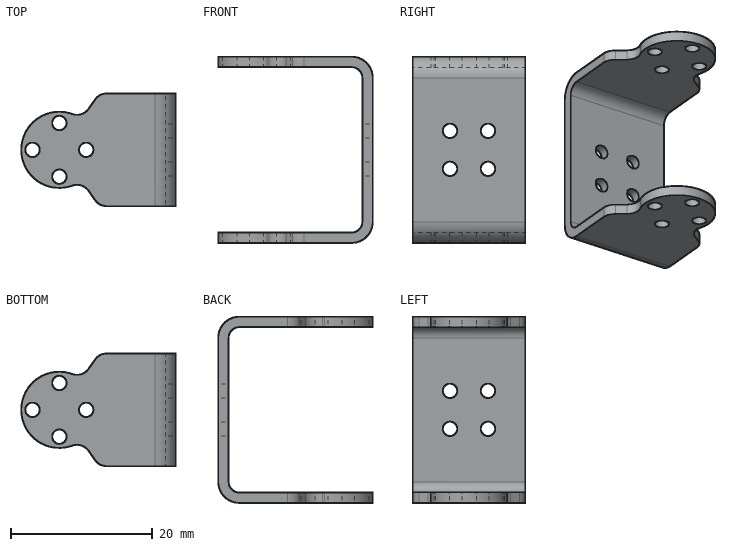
import cadquery as cq
import math

length = 21.9
width = 16.0
height = 26.4
thickness = 1.5
bend_inner_radius = 1.5
bend_outer_radius = bend_inner_radius + thickness

head_radius = 5.4
corner_radius = 2.0
shoulder_x = 6.7
shoulder_angle = 55.0
shoulder_edge_length = 1.6
neck_angle = 21.0
neck_x = 1.45

hole_diameter = 2.0
bolt_circle_radius = 3.8
holes_per_pattern = 4

back_x = length - head_radius
half_width = width / 2


def point_on_circle(center, radius, degrees):
    angle = math.radians(degrees)
    return (center[0] + radius * math.cos(angle), center[1] + radius * math.sin(angle))


def mirrored(point):
    return (point[0], -point[1])


def bent_strip():
    """Full-width channel with rounded bends, open toward -X."""
    outer = (
        cq.Workplane("XY")
        .box(length, width, height)
        .translate((back_x - length / 2, 0, 0))
        .edges("|Y and >X")
        .fillet(bend_outer_radius)
    )
    inner = (
        cq.Workplane("XY")
        .box(length, width, height - 2 * thickness)
        .translate((back_x - thickness - length / 2, 0, 0))
        .edges("|Y and >X")
        .fillet(bend_inner_radius)
    )
    return outer.cut(inner)


def arm_outline():
    """Prism of the outline seen along Z: round head, hollow neck, shoulders."""
    shoulder_normal = 90 + shoulder_angle
    hollow_start = 270 - neck_angle
    hollow_end = 270 + shoulder_angle

    shoulder_center = (shoulder_x, half_width - corner_radius)
    shoulder_end = (shoulder_x, half_width)
    shoulder_mid = point_on_circle(shoulder_center, corner_radius, (90 + shoulder_normal) / 2)
    shoulder_start = point_on_circle(shoulder_center, corner_radius, shoulder_normal)

    edge_foot = point_on_circle(shoulder_start, shoulder_edge_length, 180 + shoulder_angle)
    hollow_center = point_on_circle(edge_foot, corner_radius, shoulder_normal)
    hollow_mid = point_on_circle(hollow_center, corner_radius, (hollow_start + hollow_end) / 2)
    neck_end = point_on_circle(hollow_center, corner_radius, hollow_start)
    head_end = (neck_x, math.sqrt(head_radius**2 - neck_x**2))

    return (
        cq.Workplane("XY", origin=(0, 0, -height / 2))
        .moveTo(*mirrored(head_end))
        .threePointArc((-head_radius, 0), head_end)
        .lineTo(*neck_end)
        .threePointArc(hollow_mid, edge_foot)
        .lineTo(*shoulder_start)
        .threePointArc(shoulder_mid, shoulder_end)
        .lineTo(back_x, half_width)
        .lineTo(back_x, -half_width)
        .lineTo(*mirrored(shoulder_end))
        .threePointArc(mirrored(shoulder_mid), mirrored(shoulder_start))
        .lineTo(*mirrored(edge_foot))
        .threePointArc(mirrored(hollow_mid), mirrored(neck_end))
        .close()
        .extrude(height)
    )


def hole_pattern(workplane, first_angle, depth):
    """Ring of cylinders to cut, centered on the workplane origin."""
    return (
        workplane
        .polarArray(bolt_circle_radius, first_angle, 360, holes_per_pattern)
        .circle(hole_diameter / 2)
        .extrude(depth)
    )


arm_holes = hole_pattern(cq.Workplane("XY", origin=(0, 0, -height / 2)), 0, height)
back_holes = hole_pattern(cq.Workplane("YZ", origin=(back_x - thickness, 0, 0)), 45, thickness)

result = bent_strip().intersect(arm_outline()).cut(arm_holes).cut(back_holes)